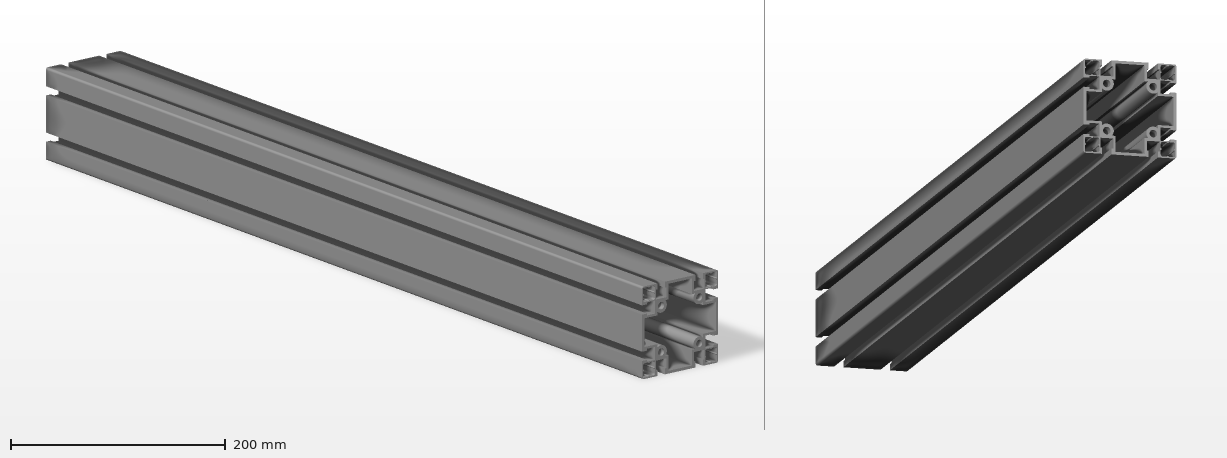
import cadquery as cq
LENGTH = 900.0
SIDE = 90.0
HALF = SIDE / 2
CORNER_RADIUS = 2.25

SLOT_OFFSET = 22.5
MOUTH_WIDTH = 9.0
LIP_THICKNESS = 5.85
POCKET_WIDTH = 13.0
SLOT_DEPTH = 15.0

OUTER_WALL = 3.0
SLOT_WALL = 2.25
FLOOR_WALL = 3.0

BOSS_RADIUS = 6.75
BORE_DIAMETER = 7.0

CORNER_WALL = 1.35
CORNER_CHAMBER_WIDTH = 13.95
CORNER_CHAMBER_RADIUS = 2.0
RIB_RADIUS = 1.0

QUARTER_TURNS = (0, 90, 180, 270)
SECTION_PLANE = "YZ"


def bar(width, height, center=(0, 0)):
    """Full-length rectangular bar along X, centred at a (Y, Z) point."""
    profile = cq.Workplane(SECTION_PLANE).center(*center).rect(width, height)
    return profile.extrude(LENGTH / 2, both=True)


def rod(radius, center):
    """Full-length round rod along X, centred at a (Y, Z) point."""
    profile = cq.Workplane(SECTION_PLANE).center(*center).circle(radius)
    return profile.extrude(LENGTH / 2, both=True)


def turned(solid, angle):
    """The solid turned about the bar's long axis."""
    return solid.rotate((0, 0, 0), (1, 0, 0), angle)


def square_zone(low, high):
    """Selector for edges centred inside a square of the Y-Z section."""
    return cq.selectors.BoxSelector((-LENGTH, low, low), (LENGTH, high, high))


def t_slot(offset):
    """T-slot opening through the +Z side."""
    mouth = bar(MOUTH_WIDTH, SLOT_DEPTH, (offset, HALF - SLOT_DEPTH / 2))
    pocket_depth = SLOT_DEPTH - LIP_THICKNESS
    pocket_center = HALF - LIP_THICKNESS - pocket_depth / 2
    return mouth.union(bar(POCKET_WIDTH, pocket_depth, (offset, pocket_center)))


def main_chamber():
    """Cross-shaped hollow widened in the middle, where four round bosses stand into it."""
    arm_length = SIDE - 2 * OUTER_WALL
    arm_width = 2 * (SLOT_OFFSET - POCKET_WIDTH / 2 - SLOT_WALL)
    middle_width = SIDE - 2 * (SLOT_DEPTH + FLOOR_WALL)
    chamber = bar(arm_width, arm_length).union(bar(arm_length, arm_width))
    chamber = chamber.union(bar(middle_width, middle_width))
    for angle in QUARTER_TURNS:
        boss = rod(BOSS_RADIUS, (SLOT_OFFSET, SLOT_OFFSET))
        chamber = chamber.cut(turned(boss, angle))
    return chamber


def corner_chamber():
    """Hollow in the +Y +Z corner: three rounded corners, one sharp, and four ribs."""
    outer = HALF - CORNER_WALL
    inner = outer - CORNER_CHAMBER_WIDTH
    middle = (inner + outer) / 2
    chamber = bar(CORNER_CHAMBER_WIDTH, CORNER_CHAMBER_WIDTH, (middle, middle))
    lengthwise = cq.selectors.ParallelDirSelector(cq.Vector(1, 0, 0))
    sharp_corner = square_zone(middle, HALF)
    chamber = chamber.edges(lengthwise - sharp_corner).fillet(CORNER_CHAMBER_RADIUS)
    for wall in (inner, outer):
        chamber = chamber.cut(rod(RIB_RADIUS, (wall, middle)))
        chamber = chamber.cut(rod(RIB_RADIUS, (middle, wall)))
    return chamber


def screw_bore():
    """Round bore along the boss in the +Y +Z quarter of the bar."""
    return rod(BORE_DIAMETER / 2, (SLOT_OFFSET, SLOT_OFFSET))


result = bar(SIDE, SIDE).edges("|X").fillet(CORNER_RADIUS).cut(main_chamber())
for angle in QUARTER_TURNS:
    for slot_offset in (-SLOT_OFFSET, SLOT_OFFSET):
        result = result.cut(turned(t_slot(slot_offset), angle))
    result = result.cut(turned(corner_chamber(), angle))
    result = result.cut(turned(screw_bore(), angle))